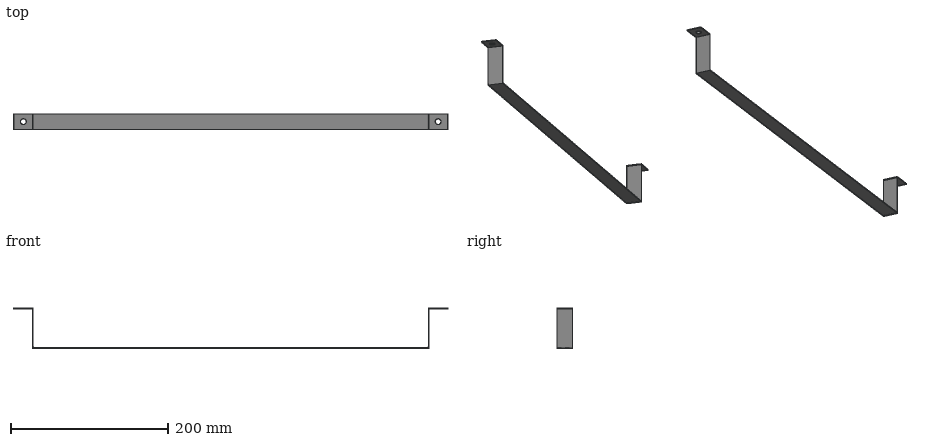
import cadquery as cq
overall_length = 552.0
overall_height = 51.0
strap_width = 20.0
strap_thickness = 1.0
flange_length = 25.0
inner_corner_radius = 1.0
hole_diameter = 7.0

half_length = overall_length / 2
leg_inner_x = half_length - flange_length
leg_outer_x = leg_inner_x + strap_thickness
flange_underside_z = overall_height - strap_thickness
hole_x = half_length - flange_length / 2


def bent_strap():
    """Flat strap folded into a U with an outward flange on top of each leg."""
    right_half = [
        (0, 0),
        (leg_outer_x, 0),
        (leg_outer_x, flange_underside_z),
        (half_length, flange_underside_z),
        (half_length, overall_height),
        (leg_inner_x, overall_height),
        (leg_inner_x, strap_thickness),
        (0, strap_thickness),
    ]
    profile = cq.Workplane("XZ").polyline(right_half).mirrorY()
    return profile.extrude(strap_width / 2, both=True)


def round_inner_corners(strap):
    """Fillet the two inside corners at the foot of the legs."""
    for side in (-1, 1):
        corner = cq.selectors.NearestToPointSelector((side * leg_inner_x, 0, strap_thickness))
        strap = strap.edges("|Y").edges(corner).fillet(inner_corner_radius)
    return strap


def mounting_holes():
    """One round cutter through the middle of each flange."""
    flange_plane = cq.Workplane("XY").workplane(offset=flange_underside_z)
    hole_centres = [(-hole_x, 0), (hole_x, 0)]
    return flange_plane.pushPoints(hole_centres).circle(hole_diameter / 2).extrude(strap_thickness)


result = round_inner_corners(bent_strap()).cut(mounting_holes())